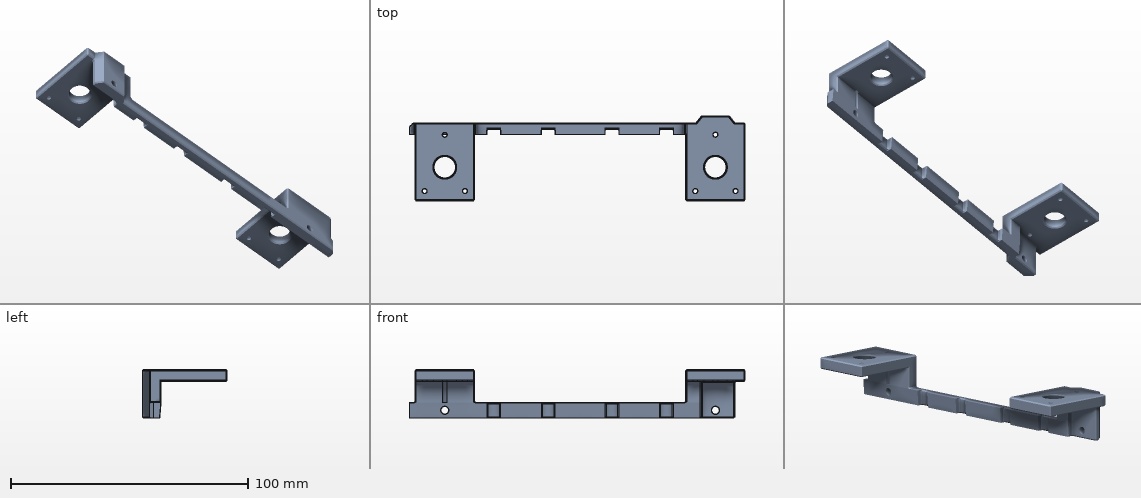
import cadquery as cq
import math

length = 141.5
height = 20.4
edge = 0.5
margin = 1.4
tolerance = 0.01

plate_width = 25.0
plate_depth = 32.8
plate_thickness = 5.0
plate_bottom = height - plate_thickness
plate_spacing = 114.0
right_center = length - plate_width / 2
left_center = right_center - plate_spacing

wall_thickness = 5.0
rail_height = 6.5
rail_draft = 5.0
end_bevel = 1.7

offset_depth = 3.0
offset_half_width = 8.2
offset_slope_run = 2.4
offset_left = right_center - offset_half_width
offset_right = right_center + offset_half_width
recess_left = right_center - 6.0
recess_face = offset_depth - wall_thickness

notch_width = 5.8
notch_depth = 2.3
notch_floor = notch_depth - wall_thickness
notch_offsets = (-36.4, -13.5, 13.5, 36.4)
rail_center = (left_center + right_center) / 2

bore_diameter = 9.0
bore_y = -18.7
screw_diameter = 2.0
screw_offsets = ((0, 13.7), (-8.5, -10.0), (8.5, -10.0))
cross_hole_diameter = 3.3


def prism(outline, bottom, top):
    """Extrude an XY outline between two heights."""
    return cq.Workplane("XY", origin=(0, 0, bottom)).polyline(outline).close().extrude(top - bottom)


def bar_along_x(profile, start, end):
    """Extrude a YZ profile between two X positions."""
    return cq.Workplane("YZ", origin=(start, 0, 0)).polyline(profile).close().extrude(end - start)


def upright_cylinder(x, y, diameter, bottom, top):
    return cq.Workplane("XY", origin=(x, y, bottom)).circle(diameter / 2).extrude(top - bottom)


def make_rail():
    lean = rail_height * math.tan(math.radians(rail_draft))
    profile = [
        (0, 0),
        (lean - wall_thickness, 0),
        (-wall_thickness, rail_height),
        (0, rail_height),
    ]
    bevel = prism([(0, 0), (end_bevel, 0), (0, -end_bevel)], 0, rail_height)
    return bar_along_x(profile, 0, recess_left).cut(bevel)


def make_left_bracket():
    profile = [
        (0, rail_height),
        (0, height),
        (-plate_depth, height),
        (-plate_depth, plate_bottom),
        (-wall_thickness, plate_bottom),
        (-wall_thickness, rail_height),
    ]
    return bar_along_x(profile, left_center - plate_width / 2, left_center + plate_width / 2)


def make_right_bracket():
    plate_left = length - plate_width
    back_step = [
        (offset_left, 0),
        (offset_left + offset_slope_run, offset_depth),
        (offset_right - offset_slope_run, offset_depth),
        (offset_right, 0),
    ]
    plate_outline = [
        (plate_left, -plate_depth),
        (plate_left, 0),
        *back_step,
        (length, 0),
        (length, -plate_depth),
    ]
    wall_outline = [
        (plate_left, -wall_thickness),
        (plate_left, 0),
        (recess_left, 0),
        (recess_left, -wall_thickness),
    ]
    offset_wall_outline = back_step + [(offset_right, recess_face), (offset_left, recess_face)]
    plate = prism(plate_outline, plate_bottom, height)
    wall = prism(wall_outline, rail_height, plate_bottom)
    offset_wall = prism(offset_wall_outline, 0, plate_bottom)
    return plate.union(wall).union(offset_wall)


def near(a, b):
    return abs(a - b) < tolerance


def is_chamfered(line):
    """True for every edge of the plain body except the few that stay sharp."""
    start, end, middle = line.startPoint(), line.endPoint(), line.Center()
    same_x = near(start.x, end.x)
    same_y = near(start.y, end.y)
    same_z = near(start.z, end.z)
    left_end_of_rail = middle.x < end_bevel + tolerance
    front_of_rail_and_walls = (
        same_y and same_z and -wall_thickness - tolerance < middle.y < recess_face - tolerance
    )
    top_of_recess_side = same_x and same_z and near(middle.x, recess_left) and near(middle.z, plate_bottom)
    upright_on_back_step = (
        same_x and same_y and middle.y > -tolerance
        and offset_left - tolerance < middle.x < offset_right + tolerance
    )
    return not (left_end_of_rail or front_of_rail_and_walls or top_of_recess_side or upright_on_back_step)


def make_notch(x):
    """Notch cutter: chamfered inside corners, and chamfered floor edges at top and bottom."""
    half = notch_width / 2
    mouth = -wall_thickness - margin
    shoulder = notch_floor - edge
    outline = [
        (x - half, mouth),
        (x - half, shoulder),
        (x - half + edge, notch_floor),
        (x + half - edge, notch_floor),
        (x + half, shoulder),
        (x + half, mouth),
    ]
    cutter = prism(outline, 0, rail_height)
    for rim, inside in ((rail_height, rail_height - edge), (0, edge)):
        rim_profile = [
            (shoulder, rim),
            (notch_floor + edge, rim),
            (notch_floor, inside),
            (shoulder, inside),
        ]
        cutter = cutter.union(bar_along_x(rim_profile, x - half, x + half))
    return cutter


def cut_holes(body, center, back_screw_bottom):
    """Cut the bore, three screw holes and the cross hole of one bracket."""
    body = body.cut(upright_cylinder(center, bore_y, bore_diameter, plate_bottom, height))
    for dx, dy in screw_offsets:
        screw = upright_cylinder(center + dx, bore_y + dy, screw_diameter, back_screw_bottom, height)
        body = body.cut(screw)
    cross_hole = (
        cq.Workplane("XZ", origin=(center, 0, rail_height / 2))
        .circle(cross_hole_diameter / 2)
        .extrude(plate_depth, both=True)
    )
    return body.cut(cross_hole)


def is_bore_rim(line):
    return line.geomType() == "CIRCLE" and near(line.radius(), bore_diameter / 2)


body = make_rail().union(make_left_bracket()).union(make_right_bracket()).clean()
body = body.edges().filter(is_chamfered).chamfer(edge)

for offset in notch_offsets:
    body = body.cut(make_notch(rail_center + offset))

body = cut_holes(body, left_center, rail_height)
body = cut_holes(body, right_center, plate_bottom)

result = body.edges().filter(is_bore_rim).chamfer(edge)